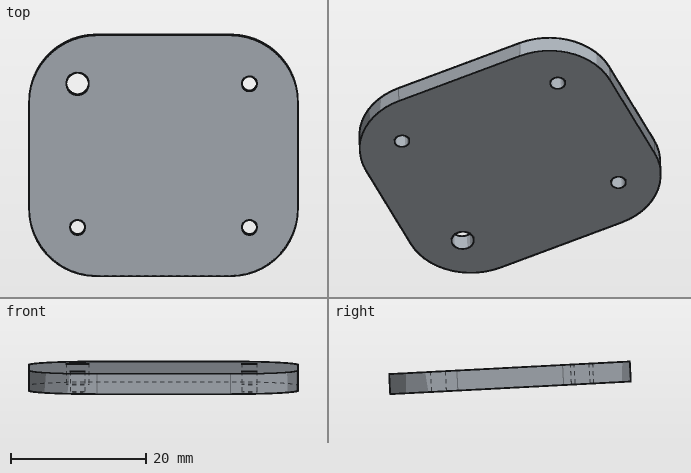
import cadquery as cq

plate_width = 39.77
plate_length = 35.65
plate_thickness = 3.0
corner_radius = 10.0
tilt_angle = 3.0

hole_spacing_x = 25.4
hole_spacing_y = 21.25
small_hole_diameter = 2.2
large_hole_diameter = 3.3

hole_x = hole_spacing_x / 2
hole_y = hole_spacing_y / 2
small_hole_centres = [(-hole_x, -hole_y), (hole_x, -hole_y), (hole_x, hole_y)]
large_hole_centres = [(-hole_x, hole_y)]


def make_plate():
    """Flat plate with rounded corners, centred on the origin."""
    plate = cq.Workplane("XY").box(plate_width, plate_length, plate_thickness)
    return plate.edges("|Z").fillet(corner_radius)


def drill_through(body, centres, diameter):
    """Drill through holes square to the plate's top face."""
    top_face = body.faces(">Z").workplane(origin=(0, 0, 0))
    return top_face.pushPoints(centres).hole(diameter)


flat_plate = make_plate()
flat_plate = drill_through(flat_plate, small_hole_centres, small_hole_diameter)
flat_plate = drill_through(flat_plate, large_hole_centres, large_hole_diameter)

result = flat_plate.rotate((0, 0, 0), (1, 0, 0), tilt_angle)